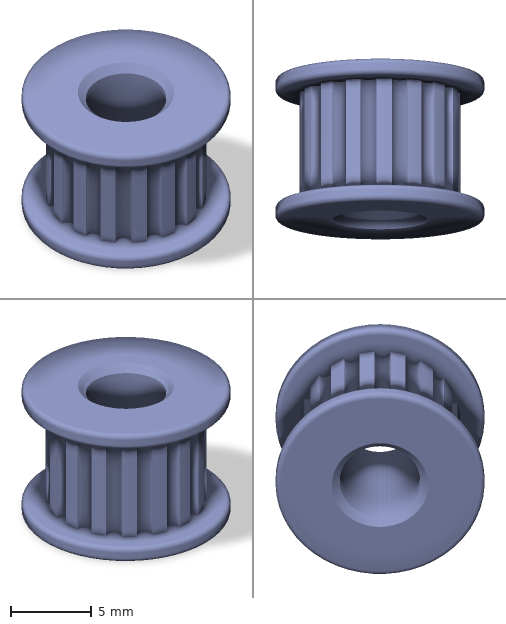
import cadquery as cq

flange_diameter = 13.0
total_height = 9.0
flange_thickness = 1.0
flange_edge_radius = 0.3

hub_diameter = 10.0
groove_count = 16
groove_diameter = 1.0

bore_diameter = 5.0
bore_chamfer = 0.5


def flange(bottom_z):
    """Disc with both rims rounded."""
    disc = cq.Workplane("XY").workplane(offset=bottom_z).circle(flange_diameter / 2).extrude(flange_thickness)
    return disc.edges().fillet(flange_edge_radius)


def toothed_hub():
    """Cylinder with round belt grooves centred on its outer surface."""
    hub = cq.Workplane("XY").circle(hub_diameter / 2).extrude(total_height - flange_thickness)
    grooves = (
        cq.Workplane("XY")
        .polarArray(hub_diameter / 2, 0, 360, groove_count)
        .circle(groove_diameter / 2)
        .extrude(total_height)
    )
    return hub.cut(grooves)


def bore():
    """Through hole cutter that widens conically at each end."""
    radius = bore_diameter / 2
    mouth_radius = radius + bore_chamfer
    profile = [
        (0, 0),
        (mouth_radius, 0),
        (radius, bore_chamfer),
        (radius, total_height - bore_chamfer),
        (mouth_radius, total_height),
        (0, total_height),
    ]
    return cq.Workplane("XZ").polyline(profile).close().revolve(360, (0, 0, 0), (0, 1, 0))


pulley = toothed_hub().union(flange(0)).union(flange(total_height - flange_thickness))
result = pulley.cut(bore())